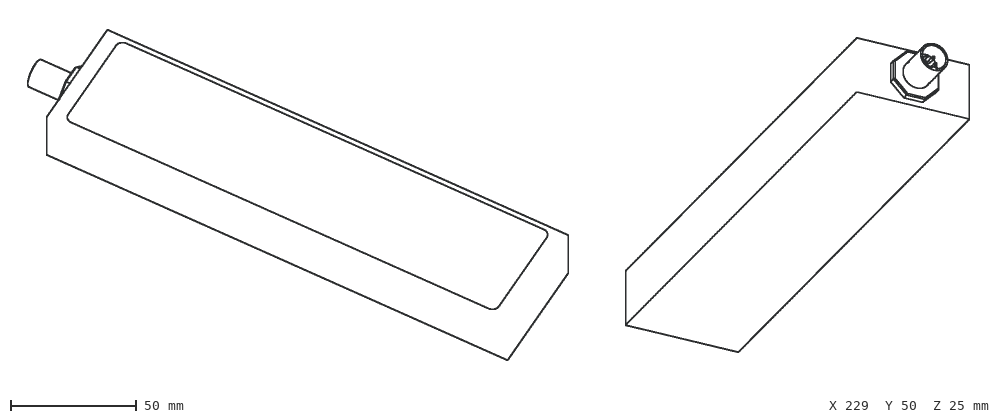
import cadquery as cq
import math

housing_length = 210.0
housing_width = 50.0
housing_height = 25.0
edge_radius = 0.5

panel_end_margin = 7.0
panel_side_margin = 2.5
panel_corner_radius = 3.0
panel_depth = 0.1

nut_sides = 8
nut_across_flats = 20.0
nut_thickness = 3.0
nut_chamfer = 0.5

connector_length = 19.0
sleeve_diameter = 12.0
bore_diameter = 10.38
bore_depth = 8.0
axis_height = housing_height / 2

pin_diameter = 1.0
pin_circle_diameter = 4.92
pin_positions = 5
pin_length = 4.5

key_diameter = 2.46
key_centre_radius = 5.6


def end_plane(distance):
    """Plane on the connector axis, the given distance outside the -X end, facing -X."""
    return cq.Plane(origin=(-distance, 0, axis_height), xDir=(0, -1, 0), normal=(-1, 0, 0))


def make_housing():
    block = cq.Workplane("XY").box(housing_length, housing_width, housing_height, centered=(False, True, False))
    block = block.edges("|Z or >Z").fillet(edge_radius)
    panel = (
        cq.Workplane("XY", origin=(housing_length / 2, 0, housing_height - panel_depth))
        .rect(housing_length - 2 * panel_end_margin, housing_width - 2 * panel_side_margin)
        .extrude(panel_depth)
        .edges("|Z")
        .fillet(panel_corner_radius)
    )
    return block.cut(panel)


def make_nut():
    half_side_angle = math.pi / nut_sides
    corner_diameter = nut_across_flats / math.cos(half_side_angle)
    return (
        cq.Workplane(end_plane(0))
        .transformed(rotate=(0, 0, math.degrees(half_side_angle)))
        .polygon(nut_sides, corner_diameter)
        .extrude(nut_thickness)
        .faces("<X")
        .chamfer(nut_chamfer)
    )


def make_socket():
    floor_distance = connector_length - bore_depth
    sleeve = cq.Workplane(end_plane(0)).circle(sleeve_diameter / 2).extrude(connector_length)
    bore = cq.Workplane(end_plane(floor_distance)).circle(bore_diameter / 2).extrude(bore_depth)
    key = (
        cq.Workplane(end_plane(floor_distance))
        .center(0, -key_centre_radius)
        .circle(key_diameter / 2)
        .extrude(bore_depth)
        .intersect(bore)
    )
    return sleeve.cut(bore).union(key)


def make_pins():
    pitch_angle = 360.0 / pin_positions
    pin_count = pin_positions - 1
    return (
        cq.Workplane(end_plane(connector_length - bore_depth))
        .polarArray(pin_circle_diameter / 2, pitch_angle - 90, pitch_angle * (pin_count - 1), pin_count)
        .circle(pin_diameter / 2)
        .extrude(pin_length)
    )


result = make_housing().union(make_nut()).union(make_socket()).union(make_pins())